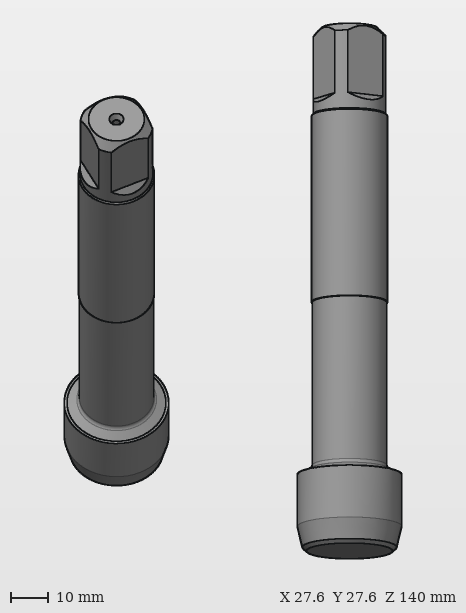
import cadquery as cq
import math

total_length = 140.0

head_radius = 27.6 / 2
head_height = 20.5
lead_height = 6.6
lead_end_radius = 12.5
tip_chamfer_height = 1.0
tip_radius = 11.3

cone_base_radius = 13.0
cone_angle = 30.0
cone_top_radius = 10.5
lower_radius = 19.7 / 2
upper_radius = 20.0 / 2
upper_bottom = 66.6
upper_top = 116.9
neck_radius = 19.2 / 2

across_flats = 15.8
flat_length = 18.9
top_chamfer = 2.2

center_radius = 2.0 / 2
countersink_radius = 3.8 / 2
center_depth = 4.2
countersink_angle = 60.0
point_angle = 120.0


def make_head():
    """Cylinder with a tapered lead and a chamfered tip."""
    profile = [
        (0, 0),
        (tip_radius, 0),
        (lead_end_radius, tip_chamfer_height),
        (head_radius, lead_height),
        (head_radius, head_height),
        (0, head_height),
    ]
    return cq.Workplane("XZ").polyline(profile).close().revolve(360, (0, 0), (0, 1))


def make_turned_shank():
    """Shoulder cone, lower and upper shank, neck and chamfered end."""
    cone = math.radians(cone_angle)
    cone_top = head_height + (cone_base_radius - cone_top_radius) * math.tan(cone)
    fillet_tangent = (cone_top_radius - lower_radius) / math.cos(cone)
    fillet_top = cone_top + fillet_tangent * (1 + math.sin(cone))
    lower_top = upper_bottom - (upper_radius - lower_radius)
    shoulder_top = upper_top - (upper_radius - neck_radius)
    return (
        cq.Workplane("XZ")
        .moveTo(0, head_height)
        .lineTo(cone_base_radius, head_height)
        .lineTo(cone_top_radius, cone_top)
        .tangentArcPoint((lower_radius, fillet_top), relative=False)
        .lineTo(lower_radius, lower_top)
        .lineTo(upper_radius, upper_bottom)
        .lineTo(upper_radius, shoulder_top)
        .lineTo(neck_radius, upper_top)
        .lineTo(neck_radius, total_length - top_chamfer)
        .lineTo(neck_radius - top_chamfer, total_length)
        .lineTo(0, total_length)
        .close()
        .revolve(360, (0, 0), (0, 1))
    )


def make_flat_cutter():
    """Removes one side of the square, running out at 45 degrees at its lower end."""
    inner = across_flats / 2
    outer = upper_radius
    flat_bottom = total_length - flat_length
    profile = [
        (inner, flat_bottom),
        (outer, flat_bottom - (outer - inner)),
        (outer, total_length),
        (inner, total_length),
    ]
    return cq.Workplane("XZ").polyline(profile).close().extrude(upper_radius, both=True)


def make_center_hole():
    """Countersink leading to a drilled hole with a pointed bottom."""
    countersink_depth = (countersink_radius - center_radius) / math.tan(math.radians(countersink_angle / 2))
    point_depth = center_radius / math.tan(math.radians(point_angle / 2))
    profile = [
        (0, total_length),
        (countersink_radius, total_length),
        (center_radius, total_length - countersink_depth),
        (center_radius, total_length - center_depth),
        (0, total_length - center_depth - point_depth),
    ]
    return cq.Workplane("XZ").polyline(profile).close().revolve(360, (0, 0), (0, 1))


def make_shank():
    body = make_turned_shank()
    flat_cutter = make_flat_cutter()
    for angle in (0, 90, 180, 270):
        body = body.cut(flat_cutter.rotate((0, 0, 0), (0, 0, 1), angle))
    return body.cut(make_center_hole())


head = make_head()
shank = make_shank()
result = cq.Compound.makeCompound([head.val(), shank.val()])